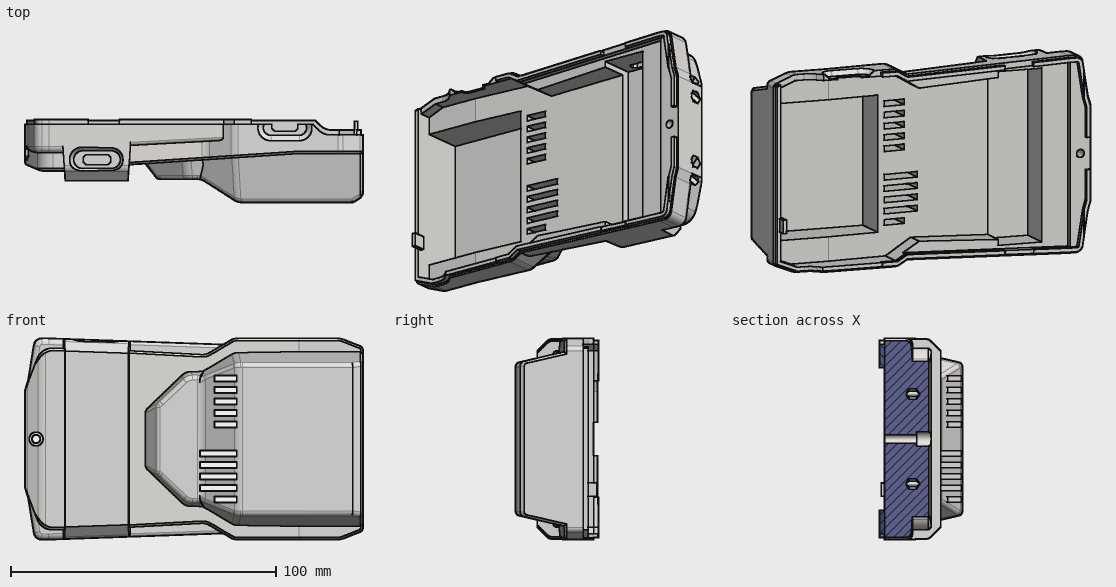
import cadquery as cq
import math


LENGTH = 127.5
HALF_WIDTH = 38.0
BACK_DEPTH = 31.4
WALL = 2.3
EDGE_MARGIN = 1.3
BACKWARD = -0.7

RIM_DEPTH = 1.9
LIP_DEPTH = 0.4
LIP_SETBACK = 0.8
LIP_GAP = 12.5
SIDE_TAPER_START = 8.9
NOSE_HALF = 18.4
NOSE_BEND = (1.1, 22.2)
NOSE_WALL = 8.4
NOSE_RUN = 3.7
NOSE_RADIUS = 3.2

STEP_START = 108.6
STEP_DROP = 4.0
STEP_RADIUS = 6.1
LIP_STEP_START = 109.5
LIP_STEP_DROP = 3.6

SHOULDER_DEPTH = 12.5
SHOULDER_FILLET = 2.3
NOSE_DEPTH = 19.5
NOSE_EDGE_DEPTH = 16.8
NOSE_SLOPE_END = 6.1
NOSE_BLOCK_HALF = 34.3
NOSE_BLOCK_END = 15.5
NOSE_BLOCK_CHAMFER = 1.0
NOSE_BLOCK_RADIUS = 6.2
NOSE_EDGE_FILLET = 1.4
NOSE_SLOPE_FILLET = 7.0

BAND_START = 14.3
BAND_END = 39.8
BAND_DEPTH = 23.2
BAND_DRAFT = 0.9
BAND_CHAMFER = 4.6
BAND_FILLET = 3.2

LEDGE_START_DEPTH = 9.8
LEDGE_END_DEPTH = 7.9
LEDGE_END_X = 74.8
LEDGE_HIDDEN_START = 38.5
LEDGE_FILLET = 1.3
WAIST_X = 68.2
WAIST_HALF = 31.7
PLATE_START = 18.1
PLATE_START_HALF = 34.4
WING_X = 78.8
WING_END = 119.0
TAIL_HALF = 34.7
PLATE_DEPTH_AT_BAND = 17.1
PLATE_DEPTH_AT_TAIL = 12.9
PLATE_BEND_X = 103.3
PLATE_CHAMFER = 0.9
BEND_RADIUS = 5.1
TAIL_RADIUS = 1.9

DRAFT = 13.0
BODY_BASE_DEPTH = 10.2
BOX_HALF = 33.5
BOX_NECK_X = 61.2
BOX_NECK_HALF = 23.5
BUMP_NOSE_X = 42.1
BUMP_NOSE_HALF = 9.7
BUMP_SIDE_X = 60.0
BUMP_HALF = 26.6
BUMP_END_X = 68.8
BUMP_SLOPE_START = (45.5, 16.8)
BUMP_TOP_START = 50.0
BUMP_TOP_END = 66.5
BUMP_DEPTH = 22.6
BOX_TOP_START = 80.3
BOX_BEVEL_START = 123.7
BOX_BEVEL_DEPTH = 29.1
RAMP_RADIUS = 5.5
BACK_FILLET = 1.9
CORNER_LEAST_Z = 15.3
BOX_END_CHAMFER = 1.0

VENT_WIDTH = 2.2
VENT_PITCH = 4.3
VENT_FIRST = 5.5
VENTS_PER_SIDE = 5
VENT_END = 79.8
SHORT_VENT_START = 71.5
LONG_VENT_START = 66.0

PORT_RECESS = 1.8
PORT_OVERSHOOT = 0.5
USB_X = 27.2
USB_DEPTH = 15.2
USB_RECESS = (20.1, 9.2)
USB_SLOT = (10.3, 3.8)
USB_FLARE = 1.3
RIM_PORT_X = 98.0
RIM_PORT_DEPTH = 3.2
RIM_PORT_RECESS = (20.4, 9.7)
RIM_PORT_SLOT_WIDTH = 9.8
RIM_PORT_SLOT_DEPTH = 4.5
RIM_PORT_FLARE = 2.0
SLOT_CHAMFER = 1.0

SCREW_X = 4.2
SCREW_DIAMETER = 3.0
SCREW_HEAD_DIAMETER = 5.2
SCREW_HEAD_DEPTH = 14.0
CORD_Z = 17.0
CORD_HALF_SPAN = 4.0
CORD_WIDTH = 3.0
CORD_TOP_DEPTH = 10.2
CORD_TIP_DEPTH = 15.4
CORD_CORNER = 1.0

INSERT_SPANS = ((3.5, 23.8), (35.6, 85.4))
TAB_X = 124.2
TAB_THICKNESS = 1.4
TAB_TOP_DEPTH = 0.6
TAB_WIDTH = 5.1
TAB_Z = -19.1


def mirrored(points):
    """Close a +Z half outline by its mirror image at -Z."""
    return points + [(x, -z) for x, z in reversed(points)]


def plan(points, start_depth, end_depth, inset=0.0, taper=0.0):
    """Extrude an X-Z outline between two depths, optionally shrunk and drafted."""
    sketch = cq.Workplane("XZ", origin=(0, -start_depth, 0)).polyline(points).close()
    if inset:
        sketch = sketch.offset2D(-inset, "intersection")
    return sketch.extrude(end_depth - start_depth, taper=taper)


def profile(points, inset=0.0):
    """Extrude an (X, depth) outline across the case, on both sides of Z = 0."""
    sketch = cq.Workplane("XY").polyline([(x, -depth) for x, depth in points]).close()
    if inset:
        sketch = sketch.offset2D(-inset, "intersection")
    return sketch.extrude(2 * HALF_WIDTH, both=True)


def fillet_bend(solid, corner, radius):
    """Round the straight edge along Z that passes through one (X, depth) corner."""
    x, depth = corner
    low = (x - EDGE_MARGIN, -depth - EDGE_MARGIN, -LENGTH)
    high = (x + EDGE_MARGIN, EDGE_MARGIN - depth, LENGTH)
    return solid.edges("|Z").edges(cq.selectors.BoxSelector(low, high)).fillet(radius)


def box(x_range, depth_range, z_range):
    """Axis-aligned block between the given limits."""
    (x0, x1), (d0, d1), (z0, z1) = x_range, depth_range, z_range
    return cq.Workplane("XY").box(x1 - x0, d1 - d0, z1 - z0, centered=False).translate((x0, -d1, z0))


WING_SLOPE = (HALF_WIDTH - WAIST_HALF) / (WING_X - WAIST_X)
LEDGE_END_HALF = WAIST_HALF + WING_SLOPE * (LEDGE_END_X - WAIST_X)
SIDE_SLOPE = (HALF_WIDTH - LEDGE_END_HALF) / (LEDGE_END_X - SIDE_TAPER_START)
NOSE_OUTLINE = [
    (0, NOSE_HALF),
    NOSE_BEND,
    (NOSE_RUN, HALF_WIDTH),
    (SIDE_TAPER_START, HALF_WIDTH),
]
CASE_OUTLINE = NOSE_OUTLINE + [
    (LEDGE_END_X, LEDGE_END_HALF),
    (WING_X, HALF_WIDTH),
    (WING_END, HALF_WIDTH),
    (LENGTH, TAIL_HALF),
]
GRIP_OUTLINE = NOSE_OUTLINE + [(WING_X, LEDGE_END_HALF - SIDE_SLOPE * (WING_X - LEDGE_END_X))]


def case_prism(outline, start_depth, end_depth, inset=0.0):
    """Prism of a front outline with rounded nose corners."""
    prism = plan(mirrored(outline), start_depth, end_depth, inset)
    near_corner = cq.selectors.BoxSelector(
        (NOSE_BEND[0] + inset, -BACK_DEPTH, -HALF_WIDTH - EDGE_MARGIN),
        (NOSE_RUN + inset + EDGE_MARGIN, BACK_DEPTH, HALF_WIDTH + EDGE_MARGIN),
    )
    corners = prism.edges("|Y").edges(near_corner).filter(lambda edge: abs(edge.Center().z) > WAIST_HALF)
    return corners.fillet(NOSE_RADIUS - inset)


def rim_block():
    """Upper side walls: rounded shoulder at the nose, sloping ledges along the grip."""
    ledge_slope = (LEDGE_START_DEPTH - LEDGE_END_DEPTH) / (LEDGE_END_X - BAND_END)
    depth_limit = profile([
        (0, RIM_DEPTH),
        (0, SHOULDER_DEPTH),
        (LEDGE_HIDDEN_START, SHOULDER_DEPTH),
        (LEDGE_HIDDEN_START, LEDGE_START_DEPTH + ledge_slope * (BAND_END - LEDGE_HIDDEN_START)),
        (LEDGE_END_X, LEDGE_END_DEPTH),
        (WING_X, LEDGE_END_DEPTH - ledge_slope * (WING_X - LEDGE_END_X)),
        (WING_X, RIM_DEPTH),
    ])
    block = case_prism(GRIP_OUTLINE, RIM_DEPTH, SHOULDER_DEPTH).intersect(depth_limit)
    shoulder_end = LEDGE_HIDDEN_START - EDGE_MARGIN
    shoulder = block.faces("<Y").edges().filter(lambda edge: edge.Center().x < shoulder_end)
    block = shoulder.fillet(SHOULDER_FILLET)
    ledges = cq.selectors.BoxSelector(
        (BAND_END, -LEDGE_START_DEPTH, -HALF_WIDTH), (WING_X - EDGE_MARGIN, -LEDGE_END_DEPTH, HALF_WIDTH)
    )
    return block.edges(ledges).filter(lambda edge: abs(edge.Center().z) > WAIST_HALF).fillet(LEDGE_FILLET)


def nose_block():
    """Narrower block behind the nose shoulder, sloped toward the -X face."""
    block = plan(
        mirrored([
            (0, NOSE_HALF),
            (NOSE_SLOPE_END, NOSE_BLOCK_HALF),
            (NOSE_BLOCK_END, NOSE_BLOCK_HALF),
        ]),
        RIM_DEPTH,
        NOSE_DEPTH,
    )
    block = block.edges("|Y and (not >X)").edges(">Z or <Z").fillet(NOSE_BLOCK_RADIUS)
    block = block.faces("<Y").edges("not (<X or >X)").chamfer(NOSE_BLOCK_CHAMFER)
    slope = profile([
        (0, RIM_DEPTH),
        (0, NOSE_EDGE_DEPTH),
        (NOSE_SLOPE_END, NOSE_DEPTH),
        (BAND_END, NOSE_DEPTH),
        (BAND_END, RIM_DEPTH),
    ])
    slope = fillet_bend(slope, (0, NOSE_EDGE_DEPTH), NOSE_EDGE_FILLET)
    slope = fillet_bend(slope, (NOSE_SLOPE_END, NOSE_DEPTH), NOSE_SLOPE_FILLET)
    return block.intersect(slope)


def band():
    """Raised band with drafted ends and bevelled long edges."""
    section = profile([
        (BAND_START, RIM_DEPTH),
        (BAND_START, LEDGE_START_DEPTH),
        (BAND_START + BAND_DRAFT, BAND_DEPTH),
        (BAND_END - BAND_DRAFT, BAND_DEPTH),
        (BAND_END, LEDGE_START_DEPTH),
        (BAND_END, RIM_DEPTH),
    ])
    block = case_prism(GRIP_OUTLINE, RIM_DEPTH, BAND_DEPTH).intersect(section)
    block = block.faces("<Y").edges(">Z or <Z").chamfer(BAND_CHAMFER)
    bevel_start = BAND_DEPTH - BAND_CHAMFER
    bends = block.edges().filter(lambda edge: abs(edge.Center().y + bevel_start) < EDGE_MARGIN)
    return bends.fillet(BAND_FILLET)


PLATE_SLOPE = (PLATE_DEPTH_AT_BAND - PLATE_DEPTH_AT_TAIL) / (PLATE_BEND_X - BAND_END)


def back_plate(inset=0.0):
    """Waisted plan prism and rising side prism; the back plate is what they share."""
    outline = plan(
        mirrored([
            (PLATE_START, PLATE_START_HALF),
            (WAIST_X, WAIST_HALF),
            (WING_X, HALF_WIDTH),
            (WING_END, HALF_WIDTH),
            (LENGTH, TAIL_HALF),
        ]),
        RIM_DEPTH,
        BAND_DEPTH,
        inset,
    )
    start_depth = PLATE_DEPTH_AT_BAND + PLATE_SLOPE * (BAND_END - PLATE_START)
    side = profile(
        [
            (PLATE_START, -BAND_DEPTH),
            (PLATE_START, start_depth),
            (PLATE_BEND_X, PLATE_DEPTH_AT_TAIL),
            (LENGTH, PLATE_DEPTH_AT_TAIL),
            (LENGTH, -BAND_DEPTH),
        ],
        inset=inset,
    )
    return outline, side


def outer_back_plate():
    """Back plate with rounded corners and a chamfer along both sides of its back."""
    outline, side = back_plate()
    for x, radius in (
        (WAIST_X, BEND_RADIUS),
        (WING_X, BEND_RADIUS),
        (WING_END, BEND_RADIUS),
        (LENGTH, TAIL_RADIUS),
    ):
        near = cq.selectors.BoxSelector(
            (x - EDGE_MARGIN, -LENGTH, -LENGTH), (x + EDGE_MARGIN, LENGTH, LENGTH)
        )
        outline = outline.edges("|Y").edges(near).fillet(radius)
    plate = outline.intersect(side)
    back_faces = plate.faces().filter(lambda face: face.normalAt().y < BACKWARD)
    side_edges = back_faces.edges().filter(lambda edge: abs(edge.Center().z) > WAIST_HALF - BEND_RADIUS)
    return side_edges.chamfer(PLATE_CHAMFER)


BACK_PROFILE = [
    (BUMP_NOSE_X, 0),
    (BUMP_NOSE_X, BODY_BASE_DEPTH),
    BUMP_SLOPE_START,
    (BUMP_TOP_START, BUMP_DEPTH),
    (BUMP_TOP_END, BUMP_DEPTH),
    (BOX_TOP_START, BACK_DEPTH),
    (BOX_BEVEL_START, BACK_DEPTH),
    (LENGTH, BOX_BEVEL_DEPTH),
    (LENGTH, 0),
]


def rounded_bends(block, x):
    """Round the drafted corner edges near one X position."""
    near = cq.selectors.BoxSelector(
        (x - BEND_RADIUS, -BACK_DEPTH, -HALF_WIDTH),
        (x + BEND_RADIUS, -BODY_BASE_DEPTH - EDGE_MARGIN, HALF_WIDTH),
    )
    corners = block.edges(near).filter(lambda edge: abs(edge.Center().z) > CORNER_LEAST_Z)
    return corners.fillet(BEND_RADIUS)


def rounded_back(block):
    """Round the side edges of the faces that look backward."""
    faces = block.faces().filter(lambda face: face.normalAt().y < BACKWARD)
    edges = faces.edges().filter(lambda edge: abs(edge.Center().z) > BUMP_NOSE_HALF)
    return edges.fillet(BACK_FILLET)


def outer_back_blocks():
    """Bump and box with rounded corners, ramp bends and back edges."""
    bump_outline = mirrored([
        (BUMP_NOSE_X, BUMP_NOSE_HALF),
        (BUMP_SIDE_X, BUMP_HALF),
        (BUMP_END_X, BUMP_HALF),
    ])
    box_outline = mirrored([
        (BOX_NECK_X, BOX_NECK_HALF),
        (WING_X, BOX_HALF),
        (LENGTH + BOX_HALF, BOX_HALF),
    ])
    bump = plan(bump_outline, BODY_BASE_DEPTH, BACK_DEPTH, taper=DRAFT)
    battery_box = plan(box_outline, BODY_BASE_DEPTH, BACK_DEPTH, taper=DRAFT)
    limit = profile(BACK_PROFILE)
    limit = fillet_bend(limit, (BUMP_TOP_START, BUMP_DEPTH), BACK_FILLET)
    limit = fillet_bend(limit, (BUMP_TOP_END, BUMP_DEPTH), RAMP_RADIUS)
    limit = fillet_bend(limit, (BOX_TOP_START, BACK_DEPTH), RAMP_RADIUS)
    bump = rounded_bends(bump, BUMP_SIDE_X)
    battery_box = rounded_bends(battery_box, WING_X)
    bump = rounded_back(bump.intersect(limit))
    battery_box = rounded_back(battery_box.intersect(limit))
    return bump, battery_box.faces(">X").edges().chamfer(BOX_END_CHAMFER)


def cavity():
    """Hollow inside of the case, open at the front."""
    rim_space = case_prism(CASE_OUTLINE, 0, LEDGE_END_DEPTH - LEDGE_FILLET - WALL, WALL).intersect(
        box((NOSE_WALL, LENGTH), (0, BACK_DEPTH), (-HALF_WIDTH, HALF_WIDTH))
    )
    plate_outline, plate_side = back_plate(WALL)
    band_space = box(
        (BAND_START + 2 * WALL, BAND_END - WALL - BAND_DRAFT),
        (0, BAND_DEPTH - BAND_CHAMFER),
        (-HALF_WIDTH + BAND_CHAMFER, HALF_WIDTH - BAND_CHAMFER),
    )
    plate_space = plate_outline.intersect(plate_side)
    battery_half = BOX_HALF - (BACK_DEPTH - BODY_BASE_DEPTH) * math.tan(math.radians(DRAFT)) - WALL
    battery_space = box(
        (BOX_TOP_START + WALL, LENGTH - WALL), (0, BOX_BEVEL_DEPTH - WALL), (-battery_half, battery_half)
    )
    return rim_space.union(plate_space).union(band_space).union(battery_space)


def end_step(start_x, start_depth, drop):
    """Removes the front edge beyond a 45 degree step with a rounded foot."""
    foot_x = start_x + drop
    lower = start_depth + drop
    cutter = profile([
        (start_x - drop, start_depth - drop),
        (foot_x, lower),
        (LENGTH + drop, lower),
        (LENGTH + drop, start_depth - drop),
    ])
    return fillet_bend(cutter, (foot_x, lower), STEP_RADIUS)


def lip_ring(top_depth):
    """Lip standing inside the rim, from the given depth to just below the stepped rim."""
    foot_depth = RIM_DEPTH + STEP_DROP
    outer = case_prism(CASE_OUTLINE, top_depth, foot_depth, LIP_SETBACK)
    return outer.cut(case_prism(CASE_OUTLINE, top_depth, foot_depth, WALL))


def low_lip():
    """Lip along the nose, the -Z wall and the tail, with a gap in the middle of the nose."""
    nose_gap = box((0, NOSE_WALL), (0, RIM_DEPTH), (-LIP_GAP / 2, LIP_GAP / 2))
    side_gap = box(
        (INSERT_SPANS[0][0], LENGTH - WALL),
        (0, RIM_DEPTH + STEP_DROP),
        (HALF_WIDTH / 2, HALF_WIDTH),
    )
    lip = lip_ring(LIP_DEPTH).cut(nose_gap).cut(side_gap)
    return lip.cut(end_step(LIP_STEP_START, LIP_DEPTH, LIP_STEP_DROP))


def lip_inserts():
    """Taller lip pieces seated on the rim: two along each side wall."""
    ring = lip_ring(0)
    pieces = []
    for x_span in INSERT_SPANS:
        for z_span in ((0, HALF_WIDTH), (-HALF_WIDTH, 0)):
            pieces.append(ring.intersect(box(x_span, (0, RIM_DEPTH), z_span)))
    return pieces


def vents():
    """Two rows of slots through the ramp; four of the -Z row run on into the bump."""
    slots = cq.Workplane("XY")
    for side in (1, -1):
        for number in range(VENTS_PER_SIDE):
            center = side * (VENT_FIRST + number * VENT_PITCH)
            is_long = side < 0 and number < VENTS_PER_SIDE - 1
            start = LONG_VENT_START if is_long else SHORT_VENT_START
            z_span = (center - VENT_WIDTH / 2, center + VENT_WIDTH / 2)
            slots = slots.add(box((start, VENT_END), (0, BACK_DEPTH), z_span))
    return slots.combine()


def flared_stadium(x, depth, wall_z, size, flare):
    """Rounded recess in the +Z wall, narrowing toward its floor."""
    length, height = size
    floor = cq.Workplane("XY", origin=(x, -depth, wall_z - PORT_RECESS)).slot2D(
        length - 2 * flare, height - 2 * flare
    )
    angle = math.degrees(math.atan(flare / PORT_RECESS))
    return floor.extrude(PORT_RECESS + PORT_OVERSHOOT, taper=-angle)


def usb_port():
    """Recess and slot through the +Z end of the band."""
    length, height = USB_SLOT
    wall_z = HALF_WIDTH - SIDE_SLOPE * (USB_X - SIDE_TAPER_START)
    recess = flared_stadium(USB_X, USB_DEPTH, wall_z, USB_RECESS, USB_FLARE)
    slot = cq.Workplane("XY", origin=(USB_X, -USB_DEPTH, HALF_WIDTH / 2)).rect(length, height)
    return recess.union(slot.extrude(HALF_WIDTH / 2).edges("|Z").chamfer(SLOT_CHAMFER))


def rim_port():
    """Recess and open notch in the +Z rim."""
    recess = flared_stadium(RIM_PORT_X, RIM_PORT_DEPTH, HALF_WIDTH, RIM_PORT_RECESS, RIM_PORT_FLARE)
    half = RIM_PORT_SLOT_WIDTH / 2
    notch = box(
        (RIM_PORT_X - half, RIM_PORT_X + half),
        (0, RIM_PORT_SLOT_DEPTH),
        (HALF_WIDTH - 2 * WALL, HALF_WIDTH),
    )
    return recess.union(notch.edges("|Z and <Y").chamfer(SLOT_CHAMFER))


def screw_hole():
    """Through hole in the nose with a wider seat at the back."""
    hole = cq.Workplane("XZ").center(SCREW_X, 0).circle(SCREW_DIAMETER / 2).extrude(BACK_DEPTH)
    seat = cq.Workplane("XZ", origin=(SCREW_X, -SCREW_HEAD_DEPTH, 0)).circle(SCREW_HEAD_DIAMETER / 2)
    return hole.union(seat.extrude(BACK_DEPTH - SCREW_HEAD_DEPTH))


def cord_tunnels():
    """V-shaped tunnels that start and end on the nose, with pointed roofs for printing."""
    half = CORD_WIDTH / 2
    section = [
        (-half, -CORD_TOP_DEPTH - CORD_CORNER),
        (CORD_CORNER - half, -CORD_TOP_DEPTH),
        (half - CORD_CORNER, -CORD_TOP_DEPTH),
        (half, -CORD_TOP_DEPTH - CORD_CORNER),
        (half, half - CORD_TIP_DEPTH),
        (0, -CORD_TIP_DEPTH),
        (-half, half - CORD_TIP_DEPTH),
    ]
    reach = 2 * CORD_HALF_SPAN
    tunnels = cq.Workplane("XY")
    for center in (CORD_Z, -CORD_Z):
        for slant in (1, -1):
            direction = (-1, 0, slant)
            plane = cq.Plane(origin=(CORD_HALF_SPAN, 0, center), xDir=(slant, 0, 1), normal=direction)
            leg = cq.Workplane(plane).polyline(section).close().extrude(reach)
            tunnels = tunnels.add(leg)
    return tunnels.combine()


def housing():
    """Hollow case with every opening, without the lip inserts and the tab."""
    body = rim_block().union(nose_block()).union(band())
    body = body.union(outer_back_plate())
    for block in outer_back_blocks():
        body = body.union(block)
    body = body.cut(cavity()).cut(end_step(STEP_START, RIM_DEPTH, STEP_DROP))
    body = body.union(low_lip().cut(cavity()))
    for opening in (vents(), usb_port(), screw_hole(), cord_tunnels()):
        body = body.cut(opening)
    return body.cut(rim_port().intersect(box((0, LENGTH), (RIM_DEPTH, BACK_DEPTH), (0, HALF_WIDTH))))


def end_tab():
    """Flat tab let into the inside of the +X end wall, standing above the rim."""
    foot_depth = RIM_DEPTH + STEP_DROP
    return box(
        (TAB_X, TAB_X + TAB_THICKNESS),
        (TAB_TOP_DEPTH, foot_depth),
        (TAB_Z - TAB_WIDTH / 2, TAB_Z + TAB_WIDTH / 2),
    )


inserts = lip_inserts()
tab = end_tab()
case = housing()
for piece in (*inserts, tab):
    case = case.cut(piece)

result = cq.Compound.makeCompound([
    *case.vals(),
    *[insert.val() for insert in inserts],
    tab.val(),
])